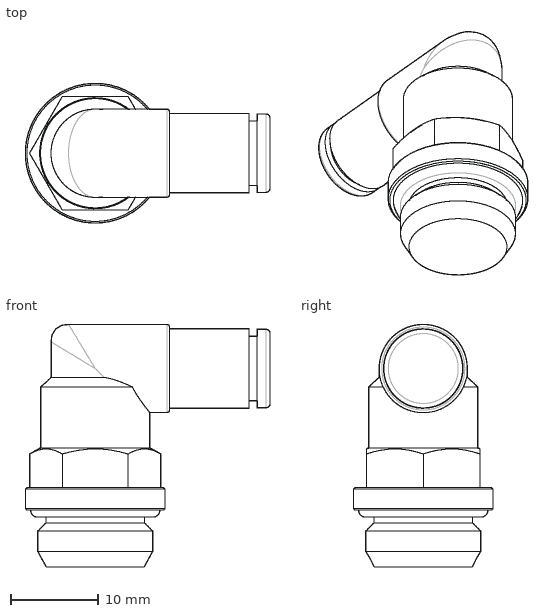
import cadquery as cq
import math


total_height = 27.75
outlet_reach = 20.0

thread_dia = 13.16
neck_dia = 11.3
tip_dia = 11.2
tip_height = 1.8
neck_bottom_z = 5.05
thread_top_z = neck_bottom_z - (thread_dia - neck_dia) / 2
flange_dia = 16.0
flange_bottom_z = 6.5
flange_top_z = 9.1
flange_chamfer = 0.2
hex_across_flats = 13.0
hex_top_z = 13.6
hex_top_dia = 12.7
hex_chamfer_angle = 30.0

seal_dia = 14.8
seal_thickness = 0.8

swivel_dia = 12.5
shoulder_z = 20.6
elbow_dia = 10.1
elbow_rad = elbow_dia / 2
shoulder_top_z = 21.7
outlet_z = total_height - elbow_rad
elbow_end_x = 8.5
elbow_end_fillet = 0.3
sleeve_dia = 9.1
sleeve_end_x = 17.6
corner_round = 2.0
diagonal_turn = 180 + 45
corner_slope = (elbow_rad - corner_round) / elbow_rad

release_stem_dia = 7.4
release_head_dia = 9.0
release_head_x = 18.5
release_head_fillet = 0.5


def turned(profile):
    """Full revolution round the Z axis of a closed outline drawn in the XZ plane."""
    return profile.revolve(360, (0, 0, 0), (0, 1, 0))


def rod_along_z(dia, bottom_z, top_z):
    return cq.Workplane("XY").workplane(offset=bottom_z).circle(dia / 2).extrude(top_z - bottom_z)


def rod_along_x(dia, start_x, end_x):
    section = cq.Workplane("YZ", origin=(start_x, 0, outlet_z)).circle(dia / 2)
    return section.extrude(end_x - start_x)


def make_hex():
    across_corners = hex_across_flats / math.cos(math.radians(30))
    height = hex_top_z - flange_top_z
    prism = cq.Workplane("XY").workplane(offset=flange_top_z).polygon(6, across_corners).extrude(height)

    corner_rad = across_corners / 2
    corner_drop = (corner_rad - hex_top_dia / 2) * math.tan(math.radians(hex_chamfer_angle))
    profile = (
        cq.Workplane("XZ")
        .moveTo(0, flange_top_z)
        .lineTo(corner_rad, flange_top_z)
        .lineTo(corner_rad, hex_top_z - corner_drop)
        .lineTo(hex_top_dia / 2, hex_top_z)
        .lineTo(0, hex_top_z)
        .close()
    )
    return prism.intersect(turned(profile))


def make_plug():
    threaded_profile = (
        cq.Workplane("XZ")
        .lineTo(tip_dia / 2, 0)
        .lineTo(thread_dia / 2, tip_height)
        .lineTo(thread_dia / 2, thread_top_z)
        .lineTo(neck_dia / 2, neck_bottom_z)
        .lineTo(neck_dia / 2, flange_bottom_z)
        .lineTo(0, flange_bottom_z)
        .close()
    )
    flange = rod_along_z(flange_dia, flange_bottom_z, flange_top_z).edges().chamfer(flange_chamfer)
    return turned(threaded_profile).union(flange).union(make_hex())


def make_seal():
    seal_bottom_z = flange_bottom_z - seal_thickness
    round_centre = seal_dia / 2 - seal_thickness
    round_step = seal_thickness * math.sqrt(0.5)
    profile = (
        cq.Workplane("XZ")
        .moveTo(neck_dia / 2, seal_bottom_z)
        .lineTo(round_centre, seal_bottom_z)
        .threePointArc(
            (round_centre + round_step, flange_bottom_z - round_step),
            (seal_dia / 2, flange_bottom_z),
        )
        .lineTo(neck_dia / 2, flange_bottom_z)
        .close()
    )
    return turned(profile)


def elbow_region(points):
    """Prism through the full elbow width; points are X, Z offsets from the centre of the bend."""
    return cq.Workplane("XZ", origin=(0, 0, outlet_z)).polyline(points).close().extrude(elbow_dia, both=True)


def make_rounded_corner():
    diagonal_rad = elbow_rad * math.sqrt(1 + corner_slope)
    cross_rad = elbow_rad * math.sqrt(1 - corner_slope)
    stretch = cq.Matrix(
        [
            [diagonal_rad, 0, 0, 0],
            [0, elbow_rad, 0, 0],
            [0, 0, cross_rad, 0],
        ]
    )
    ball = cq.Workplane("XY").sphere(1).val().transformGeometry(stretch)
    ball = ball.rotate(cq.Vector(0, 0, 0), cq.Vector(0, 1, 0), diagonal_turn)
    return cq.Workplane(ball.translate(cq.Vector(0, 0, outlet_z)))


def make_elbow():
    reach = 2 * outlet_reach
    centre = (0, 0)
    lower_plane = (-reach, reach * corner_slope)
    upper_plane = (-reach * corner_slope, reach)
    mitre_end = (reach, -reach)

    lower_leg = rod_along_z(elbow_dia, shoulder_z, total_height)
    lower_leg = lower_leg.intersect(elbow_region([centre, lower_plane, (-reach, -reach), mitre_end]))

    upper_leg = rod_along_x(elbow_dia, -elbow_rad, elbow_end_x).faces(">X").edges().fillet(elbow_end_fillet)
    upper_leg = upper_leg.intersect(elbow_region([centre, mitre_end, (reach, reach), upper_plane]))

    corner = make_rounded_corner()
    corner = corner.intersect(elbow_region([centre, upper_plane, (-reach, reach), lower_plane]))

    swivel_profile = (
        cq.Workplane("XZ")
        .moveTo(0, hex_top_z)
        .lineTo(swivel_dia / 2, hex_top_z)
        .lineTo(swivel_dia / 2, shoulder_z)
        .lineTo(elbow_rad, shoulder_top_z)
        .lineTo(0, shoulder_top_z)
        .close()
    )
    sleeve = rod_along_x(sleeve_dia, elbow_end_x, sleeve_end_x)
    return lower_leg.union(upper_leg).union(corner).union(turned(swivel_profile)).union(sleeve)


def make_release_ring():
    stem = rod_along_x(release_stem_dia, sleeve_end_x, release_head_x)
    head = rod_along_x(release_head_dia, release_head_x, outlet_reach)
    head = head.faces(">X").edges().fillet(release_head_fillet)
    return stem.union(head)


plug = make_plug()
seal = make_seal()
elbow = make_elbow()
release_ring = make_release_ring()

result = cq.Compound.makeCompound([plug.val(), seal.val(), elbow.val(), release_ring.val()])